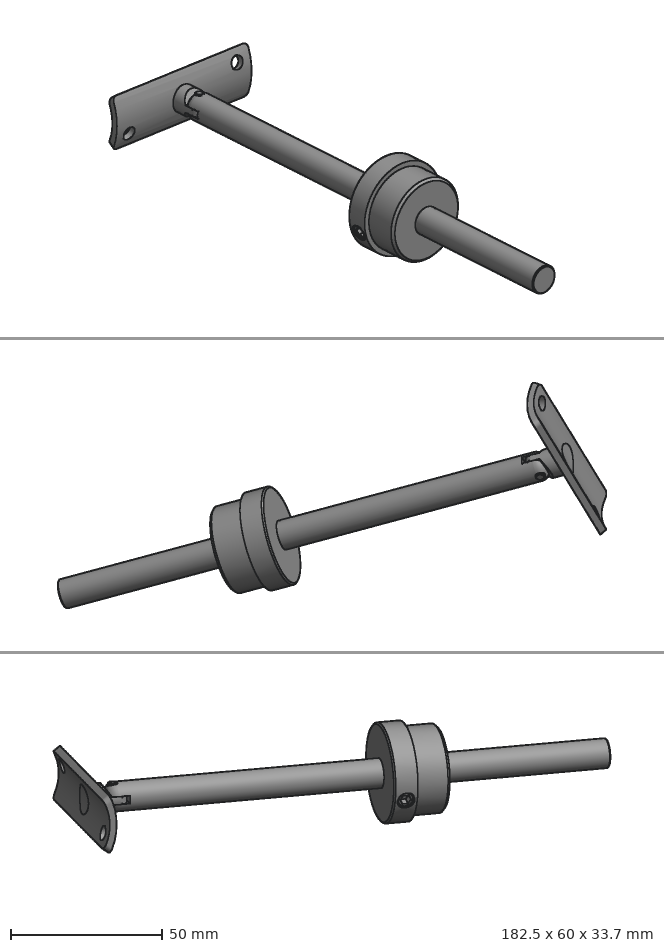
import cadquery as cq
import math

overall_length = 182.5
shaft_radius = 10.0 / 2

plate_length = 60.0
plate_half_height = 10.0
plate_inner_half_height = 8.4
plate_inner_sag = 2.2
plate_outer_edge_x = 2.2
plate_back_x = 4.5
plate_corner_radius = 2.0
plate_hole_diameter = 5.0
plate_hole_y = 24.0
plate_hole_angle = 14.8

blade_half_thickness = 1.37
shoulder_start_x = 7.8
shoulder_mid_x = 9.5
shoulder_mid_z = 2.7
blade_start_x = 10.4
blade_end_x = 16.2
blade_corner_radius = 3.1

pin_x = 12.0
pin_radius = 1.6
pin_chamfer = 0.4

rod_front_x = 9.5
rod_dome_radius = 3.3
rod_end_chamfer = 0.4
slot_end_x = 16.6

collar_front_x = 104.2
flange_radius = 33.7 / 2
flange_width = 8.2
flange_chamfer = 0.5
collar_width = 20.0
barrel_radius = 15.0
barrel_chamfer = 1.0

screw_x = collar_front_x + 4.4
screw_angle = 18.0
screw_radius = 2.5
screw_recess = 0.7
socket_flats = 3.3
socket_depth = 2.7
screw_hole_mouth = 0.4


def x_cylinder(start_x, end_x, radius):
    return cq.Workplane("YZ", origin=(start_x, 0, 0)).circle(radius).extrude(end_x - start_x)


def arc_radius(half_chord, sag):
    return (half_chord**2 + sag**2) / (2 * sag)


def plate_bore():
    """Inner cylinder of the plate: gives the end face of the hinge neck its shape."""
    radius = arc_radius(plate_inner_half_height, plate_inner_sag)
    bore = cq.Workplane("XZ", origin=(0, plate_length / 2, 0))
    return bore.center(plate_inner_sag - radius, 0).circle(radius).extrude(plate_length)


def make_neck():
    """Round neck that passes through the plate, flush with its concave face."""
    return x_cylinder(0, shoulder_start_x, shaft_radius).cut(plate_bore())


def make_plate():
    plate = (
        cq.Workplane("XZ", origin=(0, plate_length / 2, 0))
        .moveTo(0, -plate_inner_half_height)
        .threePointArc((plate_inner_sag, 0), (0, plate_inner_half_height))
        .lineTo(plate_outer_edge_x, plate_half_height)
        .threePointArc((plate_back_x, 0), (plate_outer_edge_x, -plate_half_height))
        .close()
        .extrude(plate_length)
    )
    bevel_middle_x = plate_outer_edge_x / 2
    bevel_middle_z = (plate_inner_half_height + plate_half_height) / 2
    for side_y in (-1, 1):
        for side_z in (-1, 1):
            corner = (bevel_middle_x, side_y * plate_length / 2, side_z * bevel_middle_z)
            plate = plate.edges(cq.selectors.NearestToPointSelector(corner)).fillet(plate_corner_radius)

    bore_axis_x = plate_inner_sag - arc_radius(plate_inner_half_height, plate_inner_sag)
    tilt = math.radians(plate_hole_angle)
    for side in (-1, 1):
        direction = cq.Vector(math.cos(tilt), 0, side * math.sin(tilt))
        start = cq.Vector(bore_axis_x, side * plate_hole_y, 0)
        drill_length = 2 * (plate_back_x - bore_axis_x)
        drill = cq.Solid.makeCylinder(plate_hole_diameter / 2, drill_length, start, direction)
        plate = plate.cut(cq.Workplane(drill))
    return plate.cut(make_neck())


def make_pin():
    pin = cq.Workplane("XY").center(pin_x, 0).circle(pin_radius).extrude(shaft_radius, both=True)
    return pin.faces("|Z").chamfer(pin_chamfer)


def make_tongue():
    upper = [
        (shoulder_start_x, shaft_radius),
        (shoulder_mid_x, shoulder_mid_z),
        (blade_start_x, blade_half_thickness),
        (blade_end_x, blade_half_thickness),
    ]
    lower = [(x, -z) for x, z in reversed(upper)]
    side_profile = (
        cq.Workplane("XZ").polyline(upper + lower).close().extrude(shaft_radius, both=True)
    )
    rounded_end = (
        cq.Workplane("XY")
        .rect(2 * blade_end_x, 2 * shaft_radius)
        .extrude(shaft_radius, both=True)
        .edges("|Z and >X")
        .fillet(blade_corner_radius)
    )
    blade = x_cylinder(shoulder_start_x, blade_end_x, shaft_radius)
    blade = blade.intersect(side_profile).intersect(rounded_end)
    return make_neck().union(blade).cut(make_pin())


def make_rod(tongue, pin):
    rod = x_cylinder(rod_front_x, overall_length, shaft_radius)
    rod = rod.faces("<X").edges().fillet(rod_dome_radius)
    rod = rod.faces(">X").edges().chamfer(rod_end_chamfer)
    slot = cq.Workplane("XY").box(2 * slot_end_x, 4 * shaft_radius, 2 * blade_half_thickness)
    return rod.cut(slot).cut(tongue).cut(pin)


def screw_workplane():
    """Plane on the rod axis whose normal points out along the set screw."""
    angle = math.radians(screw_angle)
    outward = (0, -math.cos(angle), -math.sin(angle))
    return cq.Workplane(cq.Plane(origin=(screw_x, 0, 0), xDir=(1, 0, 0), normal=outward))


def make_collar():
    flange = x_cylinder(collar_front_x, collar_front_x + flange_width, flange_radius)
    flange = flange.faces("<X").edges().chamfer(flange_chamfer)
    barrel = x_cylinder(collar_front_x + flange_width, collar_front_x + collar_width, barrel_radius)
    barrel = barrel.faces(">X").edges().chamfer(barrel_chamfer)
    collar = flange.union(barrel)
    collar = collar.cut(x_cylinder(0, overall_length, shaft_radius))

    screw_hole = screw_workplane().circle(screw_radius).extrude(flange_radius)
    mouth = (
        screw_workplane()
        .workplane(offset=flange_radius - screw_recess)
        .circle(screw_radius + screw_hole_mouth)
        .extrude(screw_recess)
    )
    return collar.cut(screw_hole).cut(mouth)


def make_set_screw():
    head_radius = flange_radius - screw_recess
    screw = screw_workplane().circle(screw_radius).extrude(head_radius)
    screw = screw.cut(x_cylinder(0, overall_length, shaft_radius))
    socket = (
        screw_workplane()
        .workplane(offset=head_radius - socket_depth)
        .polygon(6, socket_flats / math.cos(math.pi / 6))
        .extrude(socket_depth)
    )
    return screw.cut(socket)


plate = make_plate()
tongue = make_tongue()
pin = make_pin()
rod = make_rod(tongue, pin)
collar = make_collar()
set_screw = make_set_screw()

bodies = [plate, tongue, pin, rod, collar, set_screw]
result = cq.Compound.makeCompound([body.val() for body in bodies])